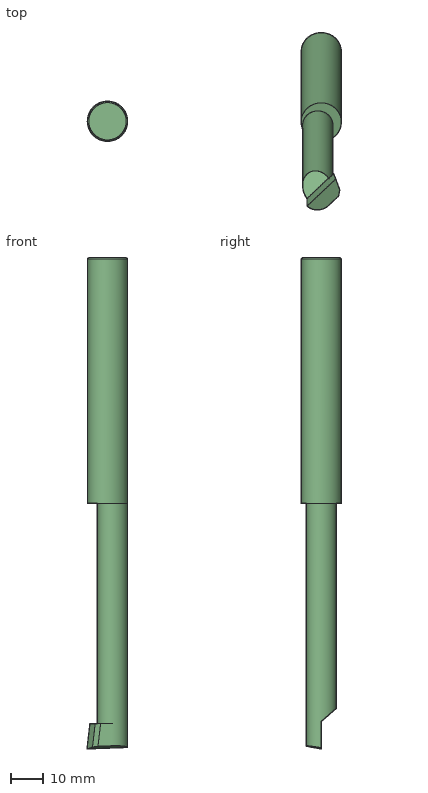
import cadquery as cq

total_length = 152.4
shank_diameter = 12.5
shank_length = 76.2
shank_chamfer = 0.5
neck_diameter = 9.5

shank_radius = shank_diameter / 2
neck_radius = neck_diameter / 2
neck_length = total_length - shank_length
neck_x = shank_radius - neck_radius

rake_height = 8.5
rake_runout_height = 12.6
tooth_height = 8.0
tip_x = -5.5
tip_lean = 0.9
relief_middle = (-3.8, -3.5)
relief_heel = (-2.1, -neck_radius)
tip_rise_x = 0.5
tip_rise_y = 0.8
margin = 7.6


def make_shank():
    shank = cq.Workplane("XY").workplane(offset=neck_length).circle(shank_radius).extrude(shank_length)
    return shank.faces(">Z").chamfer(shank_chamfer)


def make_neck():
    return cq.Workplane("XY").center(neck_x, 0).circle(neck_radius).extrude(neck_length)


def make_tooth():
    """Leaning relief faces, bounded by a flat front face tangent to the neck."""
    outer_x = tip_x - margin
    blank_points = [(outer_x, 0), (outer_x, -neck_radius), (neck_x, -neck_radius), (neck_x, 0)]
    blank = cq.Workplane("XY").polyline(blank_points).close().extrude(tooth_height)

    relief_slope = (relief_heel[1] - relief_middle[1]) / (relief_heel[0] - relief_middle[0])
    inner_x = neck_x + margin
    inner_y = relief_heel[1] + relief_slope * (inner_x - relief_heel[0])
    relief_points = [(tip_x, 0), relief_middle, (inner_x, inner_y), (inner_x, 0)]
    relief = (
        cq.Workplane("XY")
        .polyline([(x - tip_lean, y) for x, y in relief_points])
        .close()
        .workplane(offset=tooth_height)
        .polyline(relief_points)
        .close()
        .loft(ruled=True)
    )
    return blank.intersect(relief)


def make_rake_cut():
    """Removes the +Y half of the neck end, with a sloping runout."""
    runout_slope = (rake_runout_height - rake_height) / neck_radius
    outer_y = neck_radius + margin
    profile = [
        (0, -margin),
        (0, rake_height),
        (outer_y, rake_height + runout_slope * outer_y),
        (outer_y, -margin),
    ]
    width = 2 * (shank_diameter + margin)
    return cq.Workplane("YZ").polyline(profile).close().extrude(width / 2, both=True)


def make_end_cut():
    """Slopes the end face upward from the tip toward +X and -Y."""
    tip = (tip_x - tip_lean, 0, 0)
    rise_per_x = tip_rise_x / (shank_radius - tip[0])
    rise_per_y = tip_rise_y / neck_radius
    end_plane = cq.Plane(origin=tip, xDir=(1, 0, rise_per_x), normal=(-rise_per_x, rise_per_y, 1))
    width = 2 * (shank_diameter + margin)
    return cq.Workplane(end_plane).rect(width, width).extrude(-margin)


result = make_shank().union(make_neck()).union(make_tooth()).cut(make_rake_cut()).cut(make_end_cut())